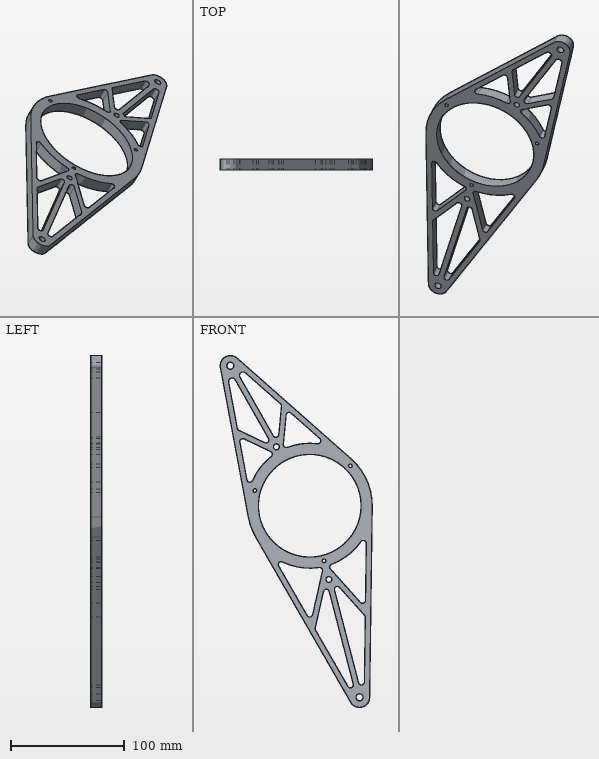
import cadquery as cq
import math

thickness = 10.0
bore_radius = 45.0
ring_radius = 55.0
tip_radius = 9.0
wall_width = 5.0
rib_width = 5.0
pocket_fillet = 2.5

tip_hole_diameter = 6.0
boss_hole_diameter = 5.0
ring_hole_diameter = 3.0
ring_hole_circle_radius = 50.0
ring_hole_count = 3
tip_corner_count = 2

upper_arm = {
    "angle": 119.56,
    "tip_distance": 141.4,
    "hole_distance": 59.5,
    "rib_fork_distance": 53.4,
    "rib_spread": 35.0,
    "tip_fillet": 3.0,
}
lower_arm = {
    "angle": -75.44,
    "tip_distance": 173.85,
    "hole_distance": 66.9,
    "rib_fork_distance": 56.6,
    "rib_spread": 27.3,
    "tip_fillet": 2.5,
}
arms = [upper_arm, lower_arm]


def polar(distance, angle):
    """Point at a distance from the ring centre in the given direction."""
    return (
        distance * math.cos(math.radians(angle)),
        distance * math.sin(math.radians(angle)),
    )


def shifted(point, *vectors):
    """Point moved by each of the given vectors."""
    return (
        point[0] + sum(vector[0] for vector in vectors),
        point[1] + sum(vector[1] for vector in vectors),
    )


def opposite(vector):
    """Vector of the same length in the opposite direction."""
    return (-vector[0], -vector[1])


def prism(corners):
    """Straight-sided block across the plate, centred on its mid-plane."""
    return cq.Workplane("XZ").polyline(corners).close().extrude(thickness / 2, both=True)


def disc(centre, radius):
    """Cylinder across the plate, centred on its mid-plane."""
    return cq.Workplane("XZ").center(*centre).circle(radius).extrude(thickness / 2, both=True)


def flank_angle(arm):
    """Angle between the arm axis and the normals of the arm's two straight sides."""
    return math.degrees(math.acos((ring_radius - tip_radius) / arm["tip_distance"]))


def tapered_plate(arm, inset):
    """Triangle between the arm's straight sides, moved inwards by the inset, up to their apex."""
    spread = flank_angle(arm)
    side_radius = ring_radius - inset
    apex_distance = side_radius / math.cos(math.radians(spread))
    corners = [
        polar(side_radius, arm["angle"] - spread),
        polar(apex_distance, arm["angle"]),
        polar(side_radius, arm["angle"] + spread),
    ]
    return prism(corners)


def arm_plate(arm):
    """Solid arm: straight sides tangent to the ring and to the round tip."""
    spread = flank_angle(arm)
    angle = arm["angle"]
    tip = polar(arm["tip_distance"], angle)

    def on_tip(direction):
        return shifted(tip, polar(tip_radius, direction))

    return (
        cq.Workplane("XZ")
        .moveTo(*polar(ring_radius, angle - spread))
        .lineTo(*on_tip(angle - spread))
        .threePointArc(on_tip(angle), on_tip(angle + spread))
        .lineTo(*polar(ring_radius, angle + spread))
        .close()
        .extrude(thickness / 2, both=True)
    )


def axis_rib(arm):
    """Straight bar along the arm axis, from the fork outwards past the tip."""
    start = polar(arm["rib_fork_distance"], arm["angle"])
    half_width = polar(rib_width / 2, arm["angle"] + 90)
    reach = polar(arm["tip_distance"], arm["angle"])
    corners = [
        shifted(start, half_width),
        shifted(start, half_width, reach),
        shifted(start, reach, opposite(half_width)),
        shifted(start, opposite(half_width)),
    ]
    return prism(corners)


def side_ribs(arm):
    """V-shaped pair of bars that split from the arm axis at the fork and run to both sides."""
    angle = arm["angle"]
    spread = arm["rib_spread"]
    half_width_on_axis = rib_width / 2 / math.sin(math.radians(spread))
    heel = polar(arm["rib_fork_distance"] - half_width_on_axis, angle)
    crotch = polar(arm["rib_fork_distance"] + half_width_on_axis, angle)
    reach_right = polar(ring_radius, angle - spread)
    reach_left = polar(ring_radius, angle + spread)
    corners = [
        heel,
        shifted(heel, reach_right),
        shifted(crotch, reach_right),
        crotch,
        shifted(crotch, reach_left),
        shifted(heel, reach_left),
    ]
    return prism(corners)


def corner_edges(pockets):
    """Window edges across the plate, from the nearest to the ring centre to the farthest."""

    def distance_from_ring_centre(edge):
        centre = edge.Center()
        return math.hypot(centre.x, centre.z)

    return sorted(pockets.edges("|Y").vals(), key=distance_from_ring_centre)


def arm_pockets(arm):
    """The four rounded windows between the rim, the ring and the ribs of one arm."""
    pockets = tapered_plate(arm, wall_width)
    pockets = pockets.cut(disc((0, 0), ring_radius))
    pockets = pockets.cut(axis_rib(arm))
    pockets = pockets.cut(side_ribs(arm))

    inner_corners = corner_edges(pockets)[:-tip_corner_count]
    pockets = pockets.newObject(inner_corners).fillet(pocket_fillet)
    tip_corners = corner_edges(pockets)[-tip_corner_count:]
    return pockets.newObject(tip_corners).fillet(arm["tip_fillet"])


plate = disc((0, 0), ring_radius)
for arm in arms:
    plate = plate.union(arm_plate(arm))
for arm in arms:
    plate = plate.cut(arm_pockets(arm))
    plate = plate.cut(disc(polar(arm["tip_distance"], arm["angle"]), tip_hole_diameter / 2))
    plate = plate.cut(disc(polar(arm["hole_distance"], arm["angle"]), boss_hole_diameter / 2))
plate = plate.cut(disc((0, 0), bore_radius))
for index in range(ring_hole_count):
    hole_angle = lower_arm["angle"] + index * 360.0 / ring_hole_count
    plate = plate.cut(disc(polar(ring_hole_circle_radius, hole_angle), ring_hole_diameter / 2))

result = plate